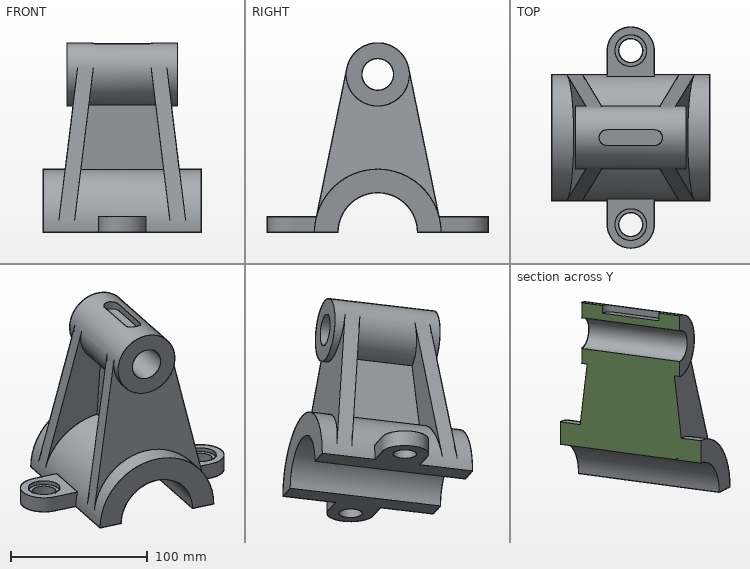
import cadquery as cq
import math

saddle_length = 115.6
saddle_radius = 46.2
saddle_bore_radius = 29.0

barrel_length = 80.8
barrel_radius = 23.1
barrel_bore_radius = 11.5
barrel_height = 115.5

slot_length = 46.2
slot_width = 11.5
slot_depth = 5.8

plate_thickness = 11.5
plate_lean = math.radians(7)
web_thickness = 11.5

overall_width = 161.7
lug_width = 34.6
lug_thickness = 11.5
lug_hole_diameter = 17.3
counterbore_diameter = 23.1
counterbore_depth = 2.9

tangent_sin = (saddle_radius - barrel_radius) / barrel_height
tangent_cos = math.sqrt(1 - tangent_sin**2)
foot_y = saddle_radius * tangent_cos
foot_z = saddle_radius * tangent_sin
head_y = barrel_radius * tangent_cos
head_z = barrel_height + barrel_radius * tangent_sin

foot_x = saddle_radius
head_x = foot_x - (head_z - foot_z) * math.tan(plate_lean)

lug_center_y = (overall_width - lug_width) / 2


def x_cylinder(radius, length, height):
    """Cylinder along X, centred on X = 0 with its axis at the given height."""
    return (
        cq.Workplane("YZ", origin=(-length / 2, 0, height))
        .circle(radius)
        .extrude(length)
    )


def leaning_slab(inner_foot_x, inner_head_x, side):
    """Slab between an inner and the outer leaning face, on side -1 or +1."""
    profile = [
        (side * foot_x, foot_z),
        (side * head_x, head_z),
        (side * inner_head_x, head_z),
        (side * inner_foot_x, foot_z),
    ]
    return cq.Workplane("XZ").polyline(profile).close().extrude(saddle_radius, both=True)


def side_plates():
    """Tapered plates that lean toward each other from saddle to barrel."""
    outline = [(-foot_y, foot_z), (foot_y, foot_z), (head_y, head_z), (-head_y, head_z)]
    taper = (
        cq.Workplane("YZ")
        .polyline(outline)
        .close()
        .extrude(saddle_length / 2, both=True)
    )
    slabs = cq.Workplane("XY")
    for side in (-1, 1):
        slabs = slabs.add(
            leaning_slab(foot_x - plate_thickness, head_x - plate_thickness, side)
        )
    return taper.intersect(slabs.combine())


def web():
    """Upright wall along X between the plates."""
    half_overlap = plate_thickness / 2
    foot = foot_x - half_overlap
    head = head_x - half_overlap
    outline = [(-foot, foot_z), (foot, foot_z), (head, head_z), (-head, head_z)]
    return (
        cq.Workplane("XZ")
        .polyline(outline)
        .close()
        .extrude(web_thickness / 2, both=True)
    )


def lug(side):
    """Round-ended lug reaching into the saddle, on side -1 or +1 of Y."""
    center_y = side * lug_center_y
    inner_y = side * (saddle_bore_radius + saddle_radius) / 2
    stem = (
        cq.Workplane("XY")
        .center(0, (center_y + inner_y) / 2)
        .rect(lug_width, abs(center_y - inner_y))
        .extrude(lug_thickness)
    )
    end = cq.Workplane("XY").center(0, center_y).circle(lug_width / 2).extrude(lug_thickness)
    return stem.union(end)


upper_half = cq.Workplane("XY").box(
    saddle_length, 2 * saddle_radius, saddle_radius, centered=(True, True, False)
)
saddle = x_cylinder(saddle_radius, saddle_length, 0).intersect(upper_half)
body = saddle.union(side_plates()).union(web())
body = body.union(x_cylinder(barrel_radius, barrel_length, barrel_height))
for lug_side in (-1, 1):
    body = body.union(lug(lug_side))

body = body.cut(x_cylinder(saddle_bore_radius, saddle_length, 0))
body = body.cut(x_cylinder(barrel_bore_radius, saddle_length, barrel_height))

slot = (
    cq.Workplane("XY", origin=(0, 0, barrel_height + barrel_radius))
    .slot2D(slot_length, slot_width)
    .extrude(-slot_depth)
)
body = body.cut(slot)

result = (
    body.copyWorkplane(cq.Workplane("XY", origin=(0, 0, lug_thickness)))
    .pushPoints([(0, -lug_center_y), (0, lug_center_y)])
    .cboreHole(lug_hole_diameter, counterbore_diameter, counterbore_depth, lug_thickness)
)